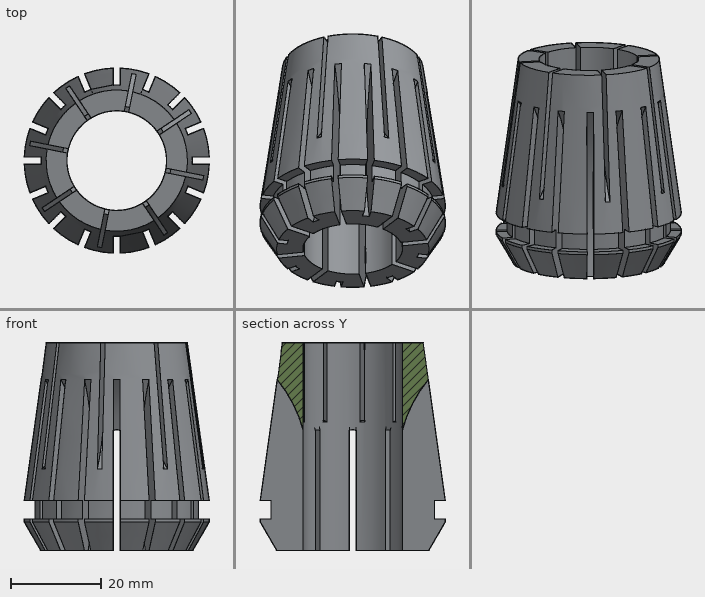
import cadquery as cq
import math

LENGTH = 46.0
MAX_RADIUS = 20.5
NOSE_ANGLE = 30.0
RIM_BOTTOM = 6.35
RIM_TOP = 7.0
GROOVE_RADIUS = 18.1
TAPER_BOTTOM = 11.05
TAPER_ANGLE = 7.95

BORE_RADIUS = 11.0

SAW_RADIUS = 30.0
SAW_REACH = 9.95

NOSE_SLOT_PAIRS = 8
NOSE_SLOT_PITCH = 360 / NOSE_SLOT_PAIRS / 2
NOSE_SLOT_WIDTH = 1.5
NOSE_SLOT_END = 37.85

SHALLOW_FLOOR_RADIUS = 45.0
SHALLOW_NOSE_RADIUS = 14.7

REAR_SLOT_COUNT = 8
REAR_SLOT_WIDTH = 1.0
REAR_SLOT_END = 18.0
REAR_SLOT_START_ANGLE = -NOSE_SLOT_PITCH / 2
SHELF_RADIUS = 12.1
SHELF_ANGLE = 20.0

CLEARANCE = 5.0


def taper_radius(z):
    """Radius of the clamping cone at height z."""
    return MAX_RADIUS - (z - TAPER_BOTTOM) * math.tan(math.radians(TAPER_ANGLE))


def make_body():
    nose_radius = MAX_RADIUS - RIM_BOTTOM * math.tan(math.radians(NOSE_ANGLE))
    half_section = (
        cq.Workplane("XZ")
        .moveTo(BORE_RADIUS, 0)
        .lineTo(nose_radius, 0)
        .lineTo(MAX_RADIUS, RIM_BOTTOM)
        .lineTo(MAX_RADIUS, RIM_TOP)
        .lineTo(GROOVE_RADIUS, RIM_TOP)
        .lineTo(GROOVE_RADIUS, TAPER_BOTTOM)
        .lineTo(MAX_RADIUS, TAPER_BOTTOM)
        .lineTo(taper_radius(LENGTH), LENGTH)
        .lineTo(BORE_RADIUS, LENGTH)
        .close()
    )
    return half_section.revolve(360, (0, 0, 0), (0, 1, 0))


def saw_rise(radius):
    """Height of the blade's edge above the blade's centre, at a distance from the collet axis."""
    return math.sqrt(SAW_RADIUS**2 - (SAW_REACH + SAW_RADIUS - radius) ** 2)


def deep_slot_cutter():
    """Slot along +X, open downwards, its end curving in from the taper to the bore."""
    outer = MAX_RADIUS + CLEARANCE
    centre_z = NOSE_SLOT_END - saw_rise(taper_radius(NOSE_SLOT_END))
    middle = (SAW_REACH + outer) / 2
    return (
        cq.Workplane("XZ", origin=(0, NOSE_SLOT_WIDTH / 2, 0))
        .moveTo(SAW_REACH, -CLEARANCE)
        .lineTo(SAW_REACH, centre_z)
        .threePointArc((middle, centre_z + saw_rise(middle)), (outer, centre_z + saw_rise(outer)))
        .lineTo(outer, -CLEARANCE)
        .close()
        .extrude(NOSE_SLOT_WIDTH)
    )


def shallow_slot_cutter():
    """Slot along +X, open outwards, its bowed floor running from the nose face to the taper."""
    end_radius = taper_radius(NOSE_SLOT_END)
    chord = math.hypot(end_radius - SHALLOW_NOSE_RADIUS, NOSE_SLOT_END)
    chord_lean = math.atan2(end_radius - SHALLOW_NOSE_RADIUS, NOSE_SLOT_END)
    bow = SHALLOW_FLOOR_RADIUS - math.sqrt(SHALLOW_FLOOR_RADIUS**2 - (chord / 2) ** 2)
    deepest_radius = (SHALLOW_NOSE_RADIUS + end_radius) / 2 - bow * math.cos(chord_lean)
    deepest_z = NOSE_SLOT_END / 2 + bow * math.sin(chord_lean)
    outer = MAX_RADIUS + CLEARANCE
    return (
        cq.Workplane("XZ", origin=(0, NOSE_SLOT_WIDTH / 2, 0))
        .moveTo(SHALLOW_NOSE_RADIUS, 0)
        .threePointArc((deepest_radius, deepest_z), (end_radius, NOSE_SLOT_END))
        .lineTo(outer, NOSE_SLOT_END)
        .lineTo(outer, 0)
        .close()
        .extrude(NOSE_SLOT_WIDTH)
    )


def rear_slot_cutter():
    """Slot along +X, open upwards, its floor rising inwards to a shelf that dips to the bore."""
    outer = MAX_RADIUS + CLEARANCE
    inner = BORE_RADIUS - REAR_SLOT_WIDTH
    top = LENGTH + CLEARANCE
    centre_z = REAR_SLOT_END + saw_rise(taper_radius(REAR_SLOT_END))
    middle = (SHELF_RADIUS + outer) / 2
    shelf_z = centre_z - saw_rise(SHELF_RADIUS)
    shelf_dip = (SHELF_RADIUS - inner) * math.tan(math.radians(SHELF_ANGLE))
    return (
        cq.Workplane("XZ", origin=(0, REAR_SLOT_WIDTH / 2, 0))
        .moveTo(inner, top)
        .lineTo(inner, shelf_z - shelf_dip)
        .lineTo(SHELF_RADIUS, shelf_z)
        .threePointArc(
            (middle, centre_z - saw_rise(middle)),
            (outer, centre_z - saw_rise(outer)),
        )
        .lineTo(outer, top)
        .close()
        .extrude(REAR_SLOT_WIDTH)
    )


def cut_around(body, cutter, count, start_angle):
    """Cut equally spaced copies of a cutter around the Z axis."""
    for index in range(count):
        angle = start_angle + index * 360 / count
        body = body.cut(cutter.rotate((0, 0, 0), (0, 0, 1), angle))
    return body


result = make_body()
result = cut_around(result, deep_slot_cutter(), NOSE_SLOT_PAIRS, 0)
result = cut_around(result, shallow_slot_cutter(), NOSE_SLOT_PAIRS, NOSE_SLOT_PITCH)
result = cut_around(result, rear_slot_cutter(), REAR_SLOT_COUNT, REAR_SLOT_START_ANGLE)